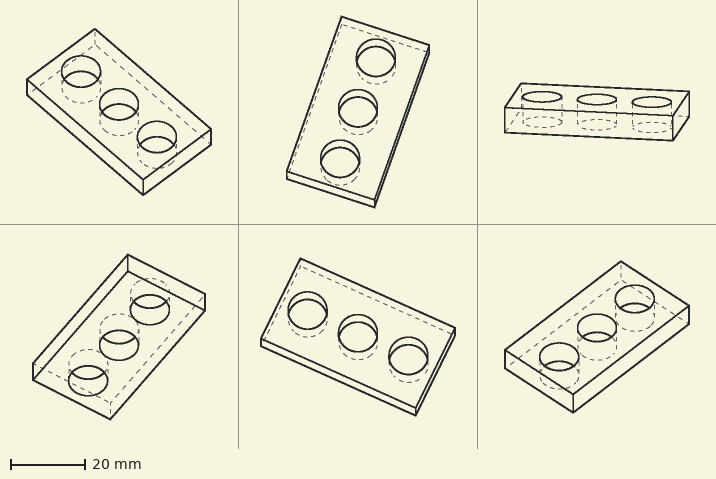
import cadquery as cq

length = 46.0
width = 25.0
thickness = 7.0

hole_count = 3
hole_diameter = 10.5
hole_pitch = 15.0

plate = cq.Workplane("XY").box(length, width, thickness)

result = (
    plate.faces(">Z")
    .workplane()
    .rarray(hole_pitch, 0.45, hole_count, 1)
    .hole(hole_diameter)
)